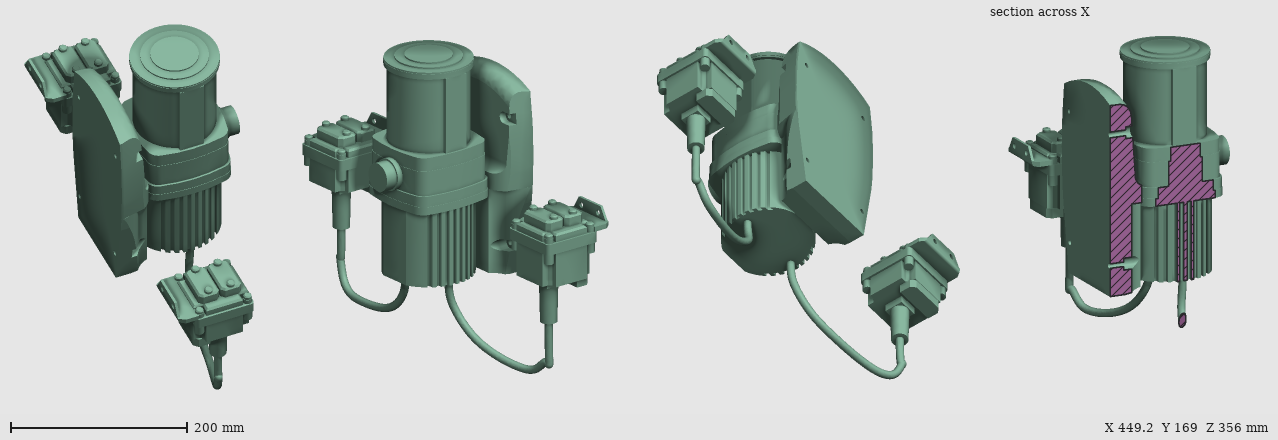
import cadquery as cq
import math


MOTOR_R = 53.5
MOTOR_FLAT_Y = 49.5
MOTOR_H = 93.0
GROOVE_FLOOR_R = 49.5
GROOVE_W = 4.5
GROOVE_PITCH = 9.2
GROOVES_PER_SIDE = 8

CASE_STEPS = [
    (102.5, 56.5),
    (115.0, 56.0),
    (144.5, 54.0),
    (160.7, 53.5),
]
CASE_TOP = CASE_STEPS[-1][0]
SIDE_END_RATIO = 0.92
SIDE_SPAN_RATIO = 0.70
CORNER_RATIO = 0.845

CYLINDER_R = 47.5
CYLINDER_TOP = 251.5
PAD_HALF_W = 15.0
PAD_REACH = 50.5
CAP_STEPS = [
    (254.0, 51.0),
    (258.0, 51.5),
    (260.0, 51.0),
    (261.7, 39.0),
    (263.5, 27.6),
]

PORT_Z = 130.5
PORT_R = 16.85
PORT_END = 73.5
PORT_COLLAR_R = 19.1
PORT_COLLAR_END = 59.5

WALL_Y = -95.5
RIM_T = 2.2
BRACKET_FRONT = -52.5
BRACKET_DRAFT = 12.0
BRACKET_SEAM_Z = 99.5
BRACKET_TOP_ROUND = 15.5
CROWN_EDGE_Y = -70.0
UPPER_DOME_HALF_W = 71.0
UPPER_CHEEK_Y = -76.5
UPPER_SHOULDER = (63.0, -64.0)
UPPER_SHOULDER_MID = (56.5, -57.5)
UPPER_FRONT_HALF_W = 45.0
LOWER_DOME_HALF_W = 69.0
LOWER_CHEEK_MID = (64.5, -79.0)
LOWER_CHEEK = (54.5, -68.5)
LOWER_SHOULDER_MID = (46.2, -61.0)
LOWER_FRONT_HALF_W = 43.0
FOOT_SLOPE_START_Y = -76.5
FOOT_SLOPE_END_Z = -2.5
LEDGE_Z = 119.5
LEDGE_CURVE_MID = (-59.5, 124.0)
LEDGE_CURVE_END = (-63.5, 134.5)
SIDE_PROFILE_HALF_SPAN = 90.0
BRACKET_BOTTOM = -6.5
BRACKET_BOTTOM_HALF_W = 53.5
BRACKET_WAIST = (67.5, 81.0)
BRACKET_WIDEST = (70.5, 125.5)
BRACKET_SHOULDER_X = 64.5
BRACKET_SHOULDER_Z = 214.5
BRACKET_TOP = 231.0
RAISED_SHOULDER_X = 56.0
RAISED_SHOULDER_Z = 257.5
MOUNT_HOLE_D = 6.5
MOUNT_SLOT_W = 13.5
MOUNTS = [
    (52.0, 185.5, -75.5),
    (50.5, 30.0, -78.0),
]

BOX_Y = -39.5
COLLAR_W = 72.5
COLLAR_H = 13.0
COLLAR_CORNER = 4.5
SHELL_REACH_X = 33.5
SHELL_REACH_Y = 34.0
SHELL_CORE_X = 23.5
SHELL_CORE_Y = 22.5
SHELL_NOTCH_CUT = 3.5
SCREW_SPACING = 59.3
POST_R = 5.6
POST_H = 12.0
LID_H = 9.5
LID_CHAMFER = 2.2
LID_PAD_L = 47.0
LID_PAD_W = 25.5
LID_PAD_H = 12.5
LID_PAD_SPACING = 27.5
LID_PAD_CORNER = 4.5
CORNER_BOSS_R = 5.15
CORNER_BOSS_H = 6.0
SCREW_HEAD_R = 4.7
SCREW_HEAD_H = 4.5
HEAD_EDGE = 1.5
LID_PAD_SCREW_SPACING = 37.3
FOOT_W = 51.5
FOOT_Y = (-33.5, -14.5)
FOOT_H = 11.5
FOOT_CORNER = 5.5
GLAND_Y = 6.5
GLAND_NUT_W = 23.5
GLAND_NUT_H = 10.0
GLAND_TOP_R = 11.0
GLAND_END_R = 10.0
GLAND_DROP = 55.0
TAB_HALF_W = 35.5
TAB_PLATE_T = 6.0
TAB_FLANGE_T = 3.0
TAB_FOLD_R = 3.0
TAB_START_Y = -32.5
TAB_END_Y = WALL_Y - BOX_Y
TAB_CORNER_CUT = 7.5
TAB_TOP = 21.0
TAB_FOLD_HALF_W = 30.5
TAB_TOP_HALF_W = 19.8
TAB_HOLE_D = 6.7
TAB_HOLE_SPACING = 30.0
TAB_HOLE_Z = 12.0

LEFT_BOX_X = -176.5
RIGHT_BOX_X = 200.2
LEFT_SHELL_BOTTOM = 39.0
RIGHT_SHELL_BOTTOM = 39.5
LEFT_SHELL_H = 41.8
RIGHT_SHELL_H = 29.0

CABLE_R = 4.7
CABLE_MOTOR_Y = 1.0
LEFT_CABLE_MOTOR_X = -37.3
RIGHT_CABLE_MOTOR_X = 42.5
LEFT_CABLE_BENDS = [
    (-42.5, -4.5, -36.0),
    (-63.0, -9.5, -58.5),
    (-98.8, -18.0, -76.8),
    (-132.5, -26.0, -83.5),
    (-158.5, -31.0, -78.0),
    (-170.0, -32.8, -68.0),
]
RIGHT_CABLE_BENDS = [
    (46.2, -2.2, -36.0),
    (67.5, -7.0, -63.0),
    (107.8, -15.0, -81.3),
    (150.5, -20.5, -87.0),
    (195.5, -31.5, -73.5),
    (203.5, -34.0, -53.0),
]


def box_between(x, y, z):
    """Box from three (low, high) ranges."""
    low, high = zip(x, y, z)
    size = [b - a for a, b in zip(low, high)]
    return cq.Workplane("XY").box(*size, centered=False).translate(low)


def disc(radius, z_low, z_high):
    return cq.Workplane("XY").workplane(offset=z_low).circle(radius).extrude(z_high - z_low)


def finned_motor():
    """Round motor shell with a flat rear and upright cooling grooves on both X sides."""
    groove_tool = None
    for i in range(GROOVES_PER_SIDE):
        y = (i - (GROOVES_PER_SIDE - 1) / 2) * GROOVE_PITCH
        slot = cq.Workplane("XY").center(0, y).rect(3 * MOTOR_R, GROOVE_W).extrude(MOTOR_H)
        groove_tool = slot if groove_tool is None else groove_tool.union(slot)
    groove_tool = groove_tool.cut(disc(GROOVE_FLOOR_R, 0, MOTOR_H))
    envelope = box_between((-MOTOR_R, MOTOR_R), (-MOTOR_R, MOTOR_FLAT_Y), (0, MOTOR_H))
    return disc(MOTOR_R, 0, MOTOR_H).intersect(envelope).cut(groove_tool)


def case_storey(half, z_low, z_high):
    """Square storey with bulged sides and rounded corners."""
    end = half * SIDE_END_RATIO
    span = half * SIDE_SPAN_RATIO
    mid = half * CORNER_RATIO
    return (
        cq.Workplane("XY").workplane(offset=z_low)
        .moveTo(end, -span)
        .threePointArc((half, 0), (end, span))
        .threePointArc((mid, mid), (span, end))
        .threePointArc((0, half), (-span, end))
        .threePointArc((-mid, mid), (-end, span))
        .threePointArc((-half, 0), (-end, -span))
        .threePointArc((-mid, -mid), (-span, -end))
        .threePointArc((0, -half), (span, -end))
        .threePointArc((mid, -mid), (end, -span))
        .close()
        .extrude(z_high - z_low)
    )


def gear_case():
    case = None
    z = MOTOR_H
    for top, half in CASE_STEPS:
        storey = case_storey(half, z, top)
        case = storey if case is None else case.union(storey)
        z = top
    return case


def top_cylinder():
    """Cylinder with two flat side pads and a stepped cap."""
    body = disc(CYLINDER_R, CASE_TOP, CYLINDER_TOP)
    pads = box_between(
        (-PAD_REACH, PAD_REACH), (-PAD_HALF_W, PAD_HALF_W), (CASE_TOP, CYLINDER_TOP)
    )
    body = body.union(pads)
    z = CYLINDER_TOP
    for top, radius in CAP_STEPS:
        body = body.union(disc(radius, z, top))
        z = top
    return body


def rear_port():
    plane = cq.Workplane("XZ").center(0, PORT_Z)
    return plane.circle(PORT_R).extrude(-PORT_END).union(
        plane.circle(PORT_COLLAR_R).extrude(-PORT_COLLAR_END)
    ).cut(disc(CYLINDER_R, 0, CASE_TOP))


def bracket_outline(y, shoulder_x=BRACKET_SHOULDER_X, shoulder_z=BRACKET_SHOULDER_Z):
    """Shield outline on a plane facing +Y; its crown keeps a constant rise over the shoulders."""
    plane = cq.Plane(origin=(0, y, 0), xDir=(-1, 0, 0), normal=(0, 1, 0))
    waist_x, waist_z = BRACKET_WAIST
    widest_x, widest_z = BRACKET_WIDEST
    crown_z = shoulder_z + BRACKET_TOP - BRACKET_SHOULDER_Z
    return (
        cq.Workplane(plane)
        .moveTo(-BRACKET_BOTTOM_HALF_W, BRACKET_BOTTOM)
        .lineTo(BRACKET_BOTTOM_HALF_W, BRACKET_BOTTOM)
        .lineTo(waist_x, waist_z)
        .threePointArc((widest_x, widest_z), (shoulder_x, shoulder_z))
        .threePointArc((0, crown_z), (-shoulder_x, shoulder_z))
        .threePointArc((-widest_x, widest_z), (-waist_x, waist_z))
        .close()
    )


def upper_dome():
    """Broad cross-section of the bracket above the seam."""
    return (
        cq.Workplane("XY").workplane(offset=BRACKET_SEAM_Z)
        .moveTo(0, WALL_Y)
        .lineTo(UPPER_DOME_HALF_W, WALL_Y)
        .lineTo(UPPER_DOME_HALF_W, UPPER_CHEEK_Y)
        .lineTo(*UPPER_SHOULDER)
        .threePointArc(UPPER_SHOULDER_MID, (UPPER_FRONT_HALF_W, BRACKET_FRONT))
        .lineTo(0, BRACKET_FRONT)
        .mirrorY()
        .extrude(BRACKET_TOP - BRACKET_SEAM_Z)
    )


def lower_dome():
    """Narrower cross-section of the bracket below the seam."""
    return (
        cq.Workplane("XY").workplane(offset=BRACKET_BOTTOM)
        .moveTo(0, WALL_Y)
        .lineTo(LOWER_DOME_HALF_W, WALL_Y)
        .threePointArc(LOWER_CHEEK_MID, LOWER_CHEEK)
        .threePointArc(LOWER_SHOULDER_MID, (LOWER_FRONT_HALF_W, BRACKET_FRONT))
        .lineTo(0, BRACKET_FRONT)
        .mirrorY()
        .extrude(BRACKET_SEAM_Z - BRACKET_BOTTOM)
    )


def bracket_side_profile():
    """Side profile: full depth beside the motor, thin above the gear case flange."""
    return (
        cq.Workplane("YZ").workplane(offset=-SIDE_PROFILE_HALF_SPAN)
        .moveTo(WALL_Y, BRACKET_BOTTOM)
        .lineTo(FOOT_SLOPE_START_Y, BRACKET_BOTTOM)
        .lineTo(BRACKET_FRONT, FOOT_SLOPE_END_Z)
        .lineTo(BRACKET_FRONT, LEDGE_Z)
        .threePointArc(LEDGE_CURVE_MID, LEDGE_CURVE_END)
        .lineTo(CROWN_EDGE_Y, BRACKET_TOP)
        .lineTo(WALL_Y, BRACKET_TOP)
        .close()
        .extrude(2 * SIDE_PROFILE_HALF_SPAN)
    )


def mount_cutter(x, z, floor_y):
    """Through hole with a wide slot that opens sideways on the motor side."""
    outward = math.copysign(MOUNT_SLOT_W * 2, x)
    hole = cq.Workplane("XZ", origin=(x, 0, z)).circle(MOUNT_HOLE_D / 2).extrude(-WALL_Y)
    slot_plane = cq.Workplane("XZ", origin=(x, BRACKET_FRONT, z))
    slot_depth = BRACKET_FRONT - floor_y
    round_end = slot_plane.circle(MOUNT_SLOT_W / 2).extrude(slot_depth)
    run = slot_plane.center(outward / 2, 0).rect(abs(outward), MOUNT_SLOT_W).extrude(slot_depth)
    return hole.union(round_end).union(run)


def wall_bracket():
    depth = BRACKET_FRONT - WALL_Y
    straight = bracket_outline(WALL_Y).extrude(depth).intersect(bracket_side_profile())
    rim = bracket_outline(WALL_Y).extrude(RIM_T)
    drafted = bracket_outline(WALL_Y + RIM_T, RAISED_SHOULDER_X, RAISED_SHOULDER_Z).extrude(
        depth - RIM_T, taper=BRACKET_DRAFT
    )
    upper = upper_dome().intersect(straight).intersect(drafted.union(rim))
    crown_edges = cq.selectors.BoxSelector(
        (-BRACKET_SHOULDER_X, CROWN_EDGE_Y - RIM_T, BRACKET_SHOULDER_Z),
        (BRACKET_SHOULDER_X, CROWN_EDGE_Y + RIM_T, BRACKET_TOP),
    )
    upper = upper.edges(crown_edges).fillet(BRACKET_TOP_ROUND)
    bracket = upper.union(lower_dome().intersect(straight))
    for x, z, floor_y in MOUNTS:
        for side in (-1, 1):
            bracket = bracket.cut(mount_cutter(side * x, z, floor_y))
    return bracket


def main_body():
    body = finned_motor().union(gear_case()).union(top_cylinder()).union(rear_port())
    return body.union(wall_bracket())


def cross_shell(height):
    """Square shell with its four corners notched out around the screw posts."""
    inner_x = SHELL_CORE_X + SHELL_NOTCH_CUT
    inner_y = SHELL_CORE_Y + SHELL_NOTCH_CUT
    shell = box_between(
        (-SHELL_REACH_X, SHELL_REACH_X), (-SHELL_REACH_Y, SHELL_REACH_Y), (0, height)
    )
    for sx in (-1, 1):
        for sy in (-1, 1):
            notch = [
                (SHELL_CORE_X, COLLAR_W),
                (SHELL_CORE_X, inner_y),
                (inner_x, SHELL_CORE_Y),
                (COLLAR_W, SHELL_CORE_Y),
                (COLLAR_W, COLLAR_W),
            ]
            points = [(sx * x, sy * y) for x, y in notch]
            shell = shell.cut(cq.Workplane("XY").polyline(points).close().extrude(height))
    return shell


def screw_heads(x_spacing, y_spacing, z, height):
    return (
        cq.Workplane("XY").workplane(offset=z)
        .rect(x_spacing, y_spacing, forConstruction=True).vertices()
        .circle(SCREW_HEAD_R).extrude(height)
        .faces(">Z").chamfer(HEAD_EDGE)
    )


def lid(z):
    """Cross-shaped lid with two raised pads, corner bosses and eight screw heads."""
    arms = (
        box_between((-SHELL_REACH_X, SHELL_REACH_X), (-SHELL_CORE_Y, SHELL_CORE_Y), (z, z + LID_H))
        .faces(">Z").chamfer(LID_CHAMFER)
    )
    cross = (
        box_between((-SHELL_CORE_X, SHELL_CORE_X), (-SHELL_REACH_Y, SHELL_REACH_Y), (z, z + LID_H))
        .faces(">Z").chamfer(LID_CHAMFER)
    )
    pads = (
        cq.Workplane("XY").workplane(offset=z + LID_H)
        .pushPoints([(0, -LID_PAD_SPACING / 2), (0, LID_PAD_SPACING / 2)])
        .rect(LID_PAD_L, LID_PAD_W).extrude(LID_PAD_H)
        .edges("|Z").chamfer(LID_PAD_CORNER)
        .faces(">Z").chamfer(LID_CHAMFER)
    )
    corner_bosses = (
        cq.Workplane("XY").workplane(offset=z)
        .rect(SCREW_SPACING, SCREW_SPACING, forConstruction=True).vertices()
        .circle(CORNER_BOSS_R).extrude(CORNER_BOSS_H)
    )
    pad_top = z + LID_H + LID_PAD_H
    return (
        arms.union(cross).union(pads)
        .union(corner_bosses)
        .union(screw_heads(SCREW_SPACING, SCREW_SPACING, z + CORNER_BOSS_H, SCREW_HEAD_H))
        .union(screw_heads(LID_PAD_SCREW_SPACING, LID_PAD_SPACING, pad_top, SCREW_HEAD_H))
    )


def mounting_tab(z):
    """Folded tab: a flat plate with an upright tapered flange and two holes."""
    plate = (
        cq.Workplane("XY")
        .polyline([
            (-TAB_HALF_W, TAB_START_Y),
            (-TAB_HALF_W, TAB_END_Y + TAB_CORNER_CUT),
            (-TAB_FOLD_HALF_W, TAB_END_Y),
            (TAB_FOLD_HALF_W, TAB_END_Y),
            (TAB_HALF_W, TAB_END_Y + TAB_CORNER_CUT),
            (TAB_HALF_W, TAB_START_Y),
        ])
        .close().extrude(TAB_PLATE_T)
        .faces("<Y").edges("<Z").fillet(TAB_FOLD_R)
    )
    flange = (
        cq.Workplane("XZ", origin=(0, TAB_END_Y + TAB_FLANGE_T, 0))
        .polyline([
            (-TAB_FOLD_HALF_W, TAB_FOLD_R),
            (-TAB_TOP_HALF_W, TAB_TOP),
            (TAB_TOP_HALF_W, TAB_TOP),
            (TAB_FOLD_HALF_W, TAB_FOLD_R),
        ])
        .close().extrude(TAB_FLANGE_T)
    )
    holes = (
        cq.Workplane("XZ")
        .pushPoints([(-TAB_HOLE_SPACING / 2, TAB_HOLE_Z), (TAB_HOLE_SPACING / 2, TAB_HOLE_Z)])
        .circle(TAB_HOLE_D / 2).extrude(-TAB_END_Y)
    )
    return plate.union(flange).cut(holes).translate((0, 0, z))


def cable_gland():
    nut = box_between(
        (-GLAND_NUT_W / 2, GLAND_NUT_W / 2),
        (GLAND_Y - GLAND_NUT_W / 2, GLAND_Y + GLAND_NUT_W / 2),
        (-GLAND_NUT_H, 0),
    )
    sleeve = (
        cq.Workplane("XY", origin=(0, GLAND_Y, -GLAND_DROP)).circle(GLAND_END_R)
        .workplane(offset=GLAND_DROP - GLAND_NUT_H).circle(GLAND_TOP_R)
        .loft()
    )
    return nut.union(sleeve)


def switch_box(x, shell_bottom, shell_height):
    collar_top = shell_height + COLLAR_H
    collar = (
        cq.Workplane("XY").workplane(offset=shell_height)
        .rect(COLLAR_W, COLLAR_W).extrude(COLLAR_H)
        .edges("|Z").fillet(COLLAR_CORNER)
    )
    posts = (
        cq.Workplane("XY").workplane(offset=shell_height - POST_H)
        .rect(SCREW_SPACING, SCREW_SPACING, forConstruction=True).vertices()
        .circle(POST_R).extrude(POST_H)
    )
    foot = (
        box_between((-FOOT_W / 2, FOOT_W / 2), FOOT_Y, (-FOOT_H, 0))
        .edges("|Z and <Y").chamfer(FOOT_CORNER)
    )
    box = (
        cross_shell(shell_height).union(collar).union(posts).union(foot)
        .union(lid(collar_top)).union(mounting_tab(collar_top)).union(cable_gland())
    )
    return box.translate((x, BOX_Y, shell_bottom))


def cable(motor_x, bends, box_x, shell_bottom):
    """Round cable from the motor bottom, sagging down and up into a box gland."""
    start = (motor_x, CABLE_MOTOR_Y, 0)
    end = (box_x, BOX_Y + GLAND_Y, shell_bottom - GLAND_DROP)
    route = cq.Workplane("XY").spline(
        [start, *bends, end], tangents=[(0, 0, -1), (0, 0, 1)]
    )
    return cq.Workplane("XY", origin=start).circle(CABLE_R).sweep(route)


BOXES = [
    (LEFT_BOX_X, LEFT_SHELL_BOTTOM, LEFT_SHELL_H, LEFT_CABLE_MOTOR_X, LEFT_CABLE_BENDS),
    (RIGHT_BOX_X, RIGHT_SHELL_BOTTOM, RIGHT_SHELL_H, RIGHT_CABLE_MOTOR_X, RIGHT_CABLE_BENDS),
]

housing = main_body()
switch_boxes = []
cables = []
for box_x, bottom, height, motor_x, bends in BOXES:
    switch_boxes.append(switch_box(box_x, bottom, height).val())
    cables.append(cable(motor_x, bends, box_x, bottom).val())

result = cq.Compound.makeCompound([housing.val(), *switch_boxes, *cables])